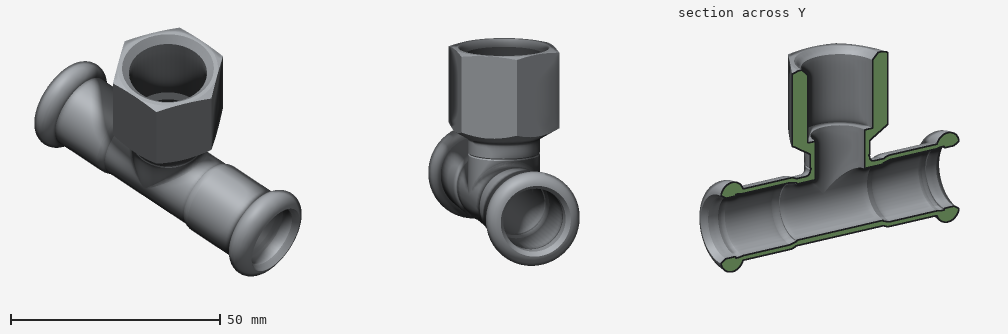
import cadquery as cq
import math

half_length = 34.4
tube_radius = 17.2 / 2
bore_radius = 14.2 / 2
sleeve_radius = 18.3 / 2
socket_radius = 15.7 / 2
bead_radius = 22.85 / 2
bead_width = 6.5
mouth_radius = 17.2 / 2
seal_radius = 15.3 / 2
seal_gap_radius = 16.1 / 2
stop_radius = 14.8 / 2
sleeve_end_depth = 19.95
taper_length = 1.85

lip_depth = 1.2
seal_start_depth = 1.5
seal_end_depth = 4.4
seal_gap_end_depth = 5.45

branch_top = 35.9
branch_fillet = 1.2
groove_bottom = 9.9
groove_top = 10.45
groove_depth = 0.2
neck_top = 13.5
neck_flare_top = 14.2
neck_flare_radius = 9.1
hex_across_flats = 24.0
hex_corner_radius = hex_across_flats / math.sqrt(3)
hex_bottom = 17.0
top_chamfer_radius = 23.95 / 2
top_chamfer_angle = 15.0
thread_radius = 18.65 / 2
thread_mouth_radius = 21.95 / 2
thread_bottom = hex_bottom


def cylinder_x(radius, length):
    return cq.Workplane("YZ").circle(radius).extrude(length / 2, both=True)


def cylinder_z(radius, bottom, top):
    return cq.Workplane("XY").workplane(offset=bottom).circle(radius).extrude(top - bottom)


def revolve_about_x(profile):
    return profile.close().revolve(360, (0, 0, 0), (1, 0, 0))


def revolve_about_z(profile):
    return profile.close().revolve(360, (0, 0, 0), (0, 1, 0))


def socket_body():
    """Outside of the socket at the -X end: rolled bead, sleeve and rounded shoulder."""
    sleeve_end = -half_length + sleeve_end_depth
    tube_start = sleeve_end + taper_length
    bead_end = -half_length + bead_width
    bead_center_x = -half_length + bead_width / 2
    drop = sleeve_radius - tube_radius
    shoulder_arc_radius = (taper_length**2 + drop**2) / (2 * drop)
    middle_x = sleeve_end + taper_length / 2
    middle_radius = sleeve_radius - shoulder_arc_radius + math.sqrt(
        shoulder_arc_radius**2 - (taper_length / 2) ** 2
    )
    return revolve_about_x(
        cq.Workplane("XY")
        .moveTo(-half_length, 0)
        .lineTo(-half_length, mouth_radius)
        .threePointArc((bead_center_x, bead_radius), (bead_end, sleeve_radius))
        .lineTo(sleeve_end, sleeve_radius)
        .threePointArc((middle_x, middle_radius), (tube_start, tube_radius))
        .lineTo(tube_start, 0)
    )


def socket_cavity():
    """Inside of the -X socket: flared mouth, seal ring, tube socket and tapered stop."""
    depth_and_radius = [
        (0, 0),
        (0, mouth_radius),
        (lip_depth, socket_radius),
        (seal_start_depth, seal_radius),
        (seal_end_depth, seal_radius),
        (seal_end_depth, seal_gap_radius),
        (seal_gap_end_depth, seal_gap_radius),
        (bead_width, socket_radius),
        (sleeve_end_depth, socket_radius),
        (sleeve_end_depth + taper_length, stop_radius),
        (sleeve_end_depth + taper_length, 0),
    ]
    points = [(depth - half_length, radius) for depth, radius in depth_and_radius]
    return revolve_about_x(cq.Workplane("XY").polyline(points))


def tee_body():
    """Equal tubes crossing at right angles, blended along their joint."""
    run = cylinder_x(tube_radius, 2 * (half_length - sleeve_end_depth - taper_length))
    tee = run.union(cylinder_z(tube_radius, 0, groove_bottom))
    joint = cq.selectors.BoxSelector(
        (-tube_radius - 0.7, -tube_radius - 0.7, 0.35),
        (tube_radius + 0.7, tube_radius + 0.7, groove_bottom - 0.35),
    )
    return tee.edges("not(%LINE)").edges(joint).fillet(branch_fillet)


def neck():
    """Neck with a V groove at its foot and a flare running into the nut's underside."""
    groove_middle = (groove_bottom + groove_top) / 2
    return revolve_about_z(
        cq.Workplane("XZ")
        .moveTo(0, groove_bottom)
        .lineTo(tube_radius, groove_bottom)
        .lineTo(tube_radius - groove_depth, groove_middle)
        .lineTo(tube_radius, groove_top)
        .lineTo(tube_radius, neck_top)
        .tangentArcPoint((neck_flare_radius, neck_flare_top), relative=False)
        .lineTo(0, neck_flare_top)
    )


def nut():
    """Hexagon with corners on the X axis, trimmed by a cone at each end."""
    hexagon = (
        cq.Workplane("XY")
        .workplane(offset=neck_flare_top)
        .polygon(6, 2 * hex_corner_radius)
        .extrude(branch_top - neck_flare_top)
    )
    top_drop = (hex_corner_radius - top_chamfer_radius) * math.tan(math.radians(top_chamfer_angle))
    envelope = revolve_about_z(
        cq.Workplane("XZ")
        .moveTo(0, neck_flare_top)
        .lineTo(neck_flare_radius, neck_flare_top)
        .lineTo(hex_corner_radius, hex_bottom)
        .lineTo(hex_corner_radius, branch_top - top_drop)
        .lineTo(top_chamfer_radius, branch_top)
        .lineTo(0, branch_top)
    )
    return hexagon.intersect(envelope)


def thread_cavity():
    """Bore of the nut with a 45 degree countersink at its mouth."""
    countersink_depth = thread_mouth_radius - thread_radius
    return revolve_about_z(
        cq.Workplane("XZ")
        .moveTo(0, thread_bottom)
        .lineTo(thread_radius, thread_bottom)
        .lineTo(thread_radius, branch_top - countersink_depth)
        .lineTo(thread_mouth_radius, branch_top)
        .lineTo(0, branch_top)
    )


body = tee_body().union(neck()).union(nut())
left_socket = socket_body()
body = body.union(left_socket).union(left_socket.mirror("YZ"))

left_cavity = socket_cavity()
body = body.cut(left_cavity).cut(left_cavity.mirror("YZ"))
body = body.cut(cylinder_x(bore_radius, 2 * (half_length - sleeve_end_depth)))
result = body.cut(cylinder_z(bore_radius, 0, hex_bottom)).cut(thread_cavity())